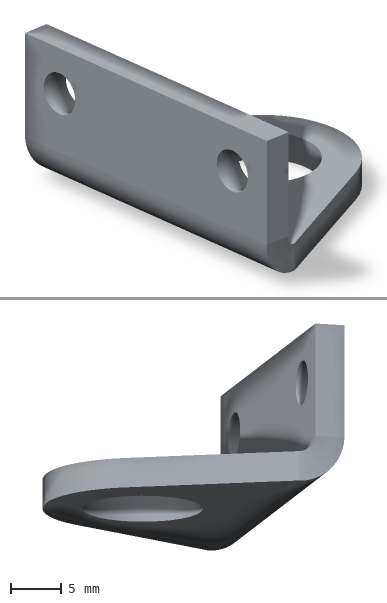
import cadquery as cq
import math

thickness = 3.0
inner_bend_radius = 1.5
outer_bend_radius = inner_bend_radius + thickness

flange_width = 35.0
flange_height = 16.0
mount_hole_diameter = 4.5
mount_hole_spacing = 25.0
mount_hole_from_top = 5.0

eye_radius = 10.0
eye_hole_diameter = 12.0
eye_center_y = 16.0
plate_root_width = 33.55


def make_flange():
    """Upright plate above the bend, with its front face on Y = 0."""
    plate = cq.Workplane("XY").box(
        flange_width, thickness, flange_height - outer_bend_radius, centered=(True, False, False)
    ).translate((0, 0, outer_bend_radius))
    holes = (
        cq.Workplane("XZ")
        .pushPoints([
            (side * mount_hole_spacing / 2, flange_height - mount_hole_from_top)
            for side in (-1, 1)
        ])
        .circle(mount_hole_diameter / 2)
        .extrude(-thickness)
    )
    return plate.cut(holes)


def make_eye_plate():
    """Flat plate whose straight sides run tangent into the rounded eye."""
    root_x = plate_root_width / 2
    root_y = outer_bend_radius
    center_distance = math.hypot(root_x, eye_center_y - root_y)

    root_direction = math.atan2(root_y - eye_center_y, root_x)
    tangent_direction = root_direction + math.acos(eye_radius / center_distance)
    tangent_x = eye_radius * math.cos(tangent_direction)
    tangent_y = eye_center_y + eye_radius * math.sin(tangent_direction)

    plate = (
        cq.Workplane("XY")
        .moveTo(-root_x, root_y)
        .lineTo(root_x, root_y)
        .lineTo(tangent_x, tangent_y)
        .threePointArc((0, eye_center_y + eye_radius), (-tangent_x, tangent_y))
        .close()
        .extrude(thickness)
    )
    hole = (
        cq.Workplane("XY")
        .center(0, eye_center_y)
        .circle(eye_hole_diameter / 2)
        .extrude(thickness)
    )
    return plate.cut(hole)


def make_bend():
    """Quarter-round bend narrowing evenly with bend angle from flange to eye plate."""
    bend_angle = 90
    end_taper = (flange_width - plate_root_width) / 2

    bend_end = cq.Plane(
        origin=(flange_width / 2, outer_bend_radius, outer_bend_radius),
        xDir=(0, -1, 0),
        normal=(-1, 0, 0),
    )
    bend = (
        cq.Workplane(bend_end)
        .moveTo(inner_bend_radius, 0)
        .lineTo(outer_bend_radius, 0)
        .radiusArc((0, -outer_bend_radius), outer_bend_radius)
        .lineTo(0, -inner_bend_radius)
        .radiusArc((inner_bend_radius, 0), -inner_bend_radius)
        .close()
        .extrude(flange_width)
    )

    cutter_size = 2 * outer_bend_radius
    end_cutter = (
        cq.Workplane(bend_end)
        .rect(cutter_size, -cutter_size, centered=False)
        .twistExtrude(end_taper, -bend_angle)
    )
    return bend.cut(end_cutter).cut(end_cutter.mirror("YZ"))


result = make_flange().union(make_bend()).union(make_eye_plate())